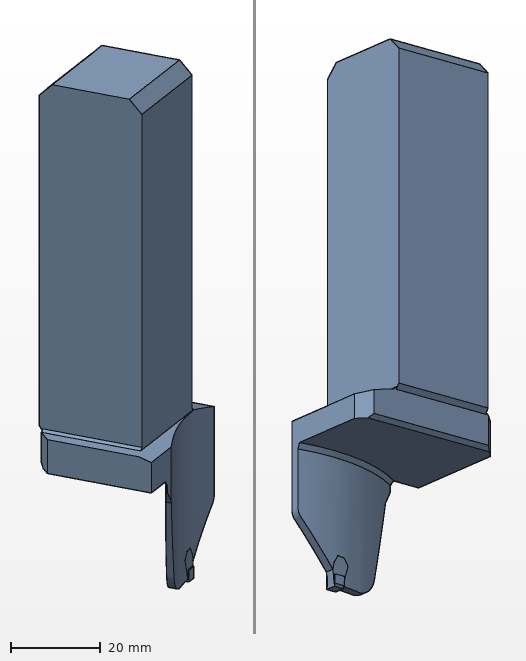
import cadquery as cq
import math

LENGTH = 124.1
DEPTH = 38.7
WIDTH = 29.7

SHANK_SIDE = 25.4
SHANK_FRONT = 3.8
SHANK_CHAMFER = 3.1
SHANK_BACK = SHANK_FRONT + SHANK_SIDE

HEAD_BOTTOM = 32.0
HEAD_TOP = 40.2
HEAD_LEFT = 0.9
HEAD_CORNER = 3.1
HEAD_LOWER_CHAMFER = 1.0
UNDERCUT_HEIGHT = 1.2
SHANK_RELIEF = 0.6
SIDE_LEDGE = 1.1
SLOPE_ANGLE = 15.0
SLOPE = math.tan(math.radians(SLOPE_ANGLE))

ARC_Y = 30.0
OUTER_RADIUS = 50.9
OUTER_X = 25.5
INNER_RADIUS = 41.6
INNER_X = 23.2
BLADE_BOTTOM = 0.6
ROOT_HEIGHT = 1.4
ROOT_FLARE = 0.5
BLADE_FRONT = 8.2
ROOT_FRONT_FLARE = 1.0

BLADE_BACK_CORNER = 16.6
BLADE_BACK_BULGE = (38.5, 15.4)
BLADE_SLOPE_TOP = (37.8, 14.4)
BLADE_SLOPE_END = (29.5, 4.0)
BLADE_TOE_BACK = 21.1
BLADE_TOE_BULGE = (17.5, 2.4)
BLADE_TOE_TOP = (15.5, 5.8)
BLADE_SHOULDER = (10.7, 25.5)
BLADE_SHOULDER_TOP = 29.0

SEAT_POINTS = [(25.0, 5.8), (26.2, 7.5), (28.0, 7.6)]
SEAT_NECK = 5.7
TIP_BACK = 29.2
TIP_FRONT = 26.5
TIP_HEIGHT = 2.9
TIP_LEFT = 22.8
TIP_RIGHT = 25.9
TIP_BEVEL_HEIGHT = 0.6
TIP_BEVEL_WIDTH = 0.4


def box(x0, x1, y0, y1, z0, z1):
    return cq.Workplane("XY").box(x1 - x0, y1 - y0, z1 - z0, centered=False).translate((x0, y0, z0))


def upright_cylinder(radius, left_x, z0, z1):
    """Cylinder about a vertical axis on the arc line, touching left_x."""
    return (
        cq.Workplane("XY", origin=(left_x + radius, ARC_Y, z0))
        .circle(radius)
        .extrude(z1 - z0)
    )


def make_shank():
    shank = box(0, SHANK_SIDE, SHANK_FRONT, SHANK_BACK, HEAD_TOP, LENGTH)
    shank = shank.faces(">Z").edges("|Y").chamfer(SHANK_CHAMFER)
    return shank.faces("<Z").edges("<X").chamfer(UNDERCUT_HEIGHT, HEAD_LEFT)


def make_head():
    head = box(HEAD_LEFT, WIDTH, 0, DEPTH, HEAD_BOTTOM, HEAD_TOP)
    head = head.edges("|Z and <X").chamfer(HEAD_CORNER)
    head = head.faces("<X").edges("<Z").chamfer(HEAD_LOWER_CHAMFER)

    back_start = SHANK_BACK + SHANK_RELIEF
    back_slope = (
        cq.Workplane("YZ")
        .moveTo(back_start, HEAD_TOP)
        .lineTo(DEPTH, HEAD_TOP)
        .lineTo(DEPTH, HEAD_TOP - SLOPE * (DEPTH - back_start))
        .close()
        .extrude(WIDTH)
    )
    side_start = SHANK_SIDE + SIDE_LEDGE
    side_slope = (
        cq.Workplane("XZ")
        .moveTo(side_start, HEAD_TOP)
        .lineTo(WIDTH, HEAD_TOP)
        .lineTo(WIDTH, HEAD_TOP - SLOPE * (WIDTH - side_start))
        .close()
        .extrude(-DEPTH)
    )
    return head.cut(back_slope).cut(side_slope)


def make_shank_relief(shank_y, outward):
    """Small sloped strip between the shank wall and the head plate."""
    return (
        cq.Workplane("YZ", origin=(HEAD_LEFT, 0, 0))
        .moveTo(shank_y, HEAD_TOP)
        .lineTo(shank_y + outward * SHANK_RELIEF, HEAD_TOP)
        .lineTo(shank_y, HEAD_TOP + SHANK_RELIEF)
        .close()
        .extrude(SHANK_SIDE - HEAD_LEFT)
    )


def make_blade():
    root_bottom = HEAD_BOTTOM - ROOT_HEIGHT
    silhouette = (
        cq.Workplane("YZ")
        .moveTo(DEPTH, HEAD_BOTTOM)
        .lineTo(DEPTH, BLADE_BACK_CORNER)
        .threePointArc(BLADE_BACK_BULGE, BLADE_SLOPE_TOP)
        .lineTo(*BLADE_SLOPE_END)
        .lineTo(TIP_BACK, BLADE_BOTTOM)
        .lineTo(BLADE_TOE_BACK, BLADE_BOTTOM)
        .threePointArc(BLADE_TOE_BULGE, BLADE_TOE_TOP)
        .lineTo(*BLADE_SHOULDER)
        .lineTo(BLADE_FRONT, BLADE_SHOULDER_TOP)
        .lineTo(BLADE_FRONT, root_bottom)
        .lineTo(BLADE_FRONT - ROOT_FRONT_FLARE, HEAD_BOTTOM)
        .close()
        .extrude(WIDTH)
    )
    inner_wall = upright_cylinder(INNER_RADIUS, INNER_X, 0, HEAD_BOTTOM)
    root_taper = math.degrees(math.atan2(ROOT_FLARE, ROOT_HEIGHT))
    root = (
        cq.Workplane("XY", origin=(INNER_X + INNER_RADIUS, ARC_Y, root_bottom))
        .circle(INNER_RADIUS)
        .extrude(ROOT_HEIGHT, taper=-root_taper)
    )
    return silhouette.intersect(inner_wall.union(root))


def make_insert(blade):
    seat = (
        cq.Workplane("YZ")
        .polyline([
            (TIP_BACK, BLADE_BOTTOM),
            (TIP_FRONT, BLADE_BOTTOM),
            *SEAT_POINTS,
            (TIP_BACK, SEAT_NECK),
            BLADE_SLOPE_END,
        ])
        .close()
        .extrude(WIDTH)
    )
    tip = box(TIP_LEFT, TIP_RIGHT, TIP_FRONT, TIP_BACK, 0, TIP_HEIGHT)
    tip = tip.faces("<Z").edges("<X").chamfer(TIP_BEVEL_HEIGHT, TIP_BEVEL_WIDTH)
    return blade.intersect(seat).union(tip)


outer_clearance = upright_cylinder(OUTER_RADIUS, OUTER_X, 0, HEAD_TOP)
blade = make_blade().cut(outer_clearance)
insert = make_insert(blade)

holder = make_shank().union(make_head().cut(outer_clearance)).union(blade)
holder = holder.union(make_shank_relief(SHANK_FRONT, -1)).union(make_shank_relief(SHANK_BACK, 1))
holder = holder.cut(insert)

result = cq.Compound.makeCompound([holder.solids().val(), insert.solids().val()])